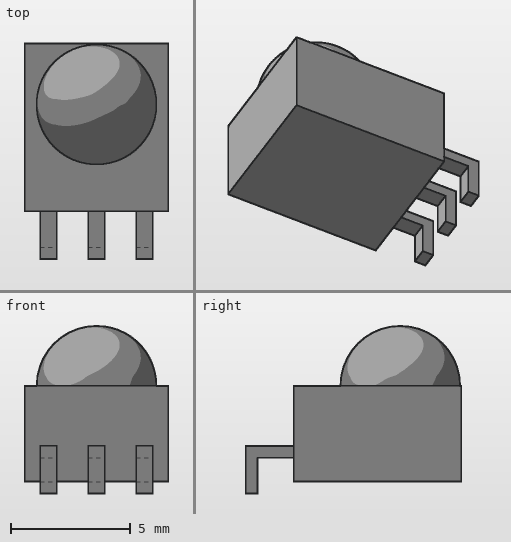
import cadquery as cq

body_width = 6.0
body_depth = 7.0
body_height = 4.0

lens_radius = 2.5
lens_back_gap = 0.05

lead_count = 3
lead_pitch = 2.0
lead_width = 0.7
lead_thickness = 0.5
lead_reach = 2.0
lead_top = 1.5
lead_drop = 0.5

front_y = -body_depth / 2
back_y = body_depth / 2


def make_body():
    return cq.Workplane("XY").box(
        body_width, body_depth, body_height, centered=(True, True, False)
    )


def make_lens():
    """Full sphere centred on the top face; its lower half sinks into the body."""
    lens_y = back_y - lens_back_gap - lens_radius
    return cq.Workplane("XY").sphere(lens_radius).translate((0, lens_y, body_height))


def make_lead(center_x):
    """L-shaped lead: a horizontal arm from the front face and a leg going down."""
    tip_y = front_y - lead_reach
    return (
        cq.Workplane("YZ", origin=(center_x, 0, 0))
        .moveTo(front_y, lead_top)
        .lineTo(tip_y, lead_top)
        .lineTo(tip_y, -lead_drop)
        .lineTo(tip_y + lead_thickness, -lead_drop)
        .lineTo(tip_y + lead_thickness, lead_top - lead_thickness)
        .lineTo(front_y, lead_top - lead_thickness)
        .close()
        .extrude(lead_width / 2, both=True)
    )


result = make_body().union(make_lens())
for index in range(lead_count):
    lead_x = (index - (lead_count - 1) / 2) * lead_pitch
    result = result.union(make_lead(lead_x))